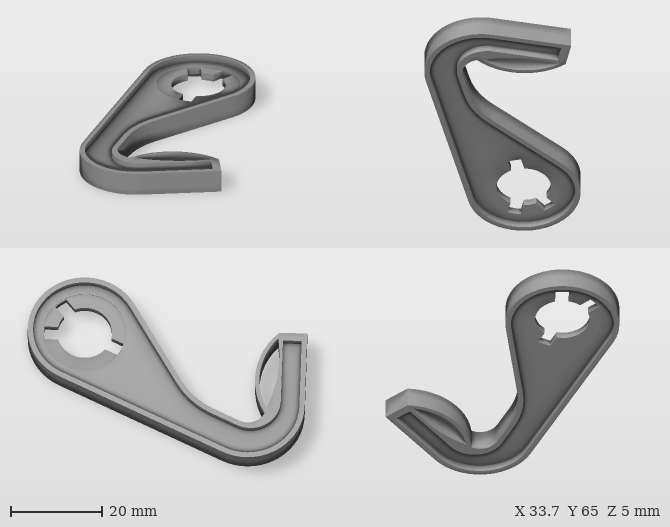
import cadquery as cq
import math

length = 65.0
thickness = 5.0
end_radius = 12.5
eye_y = length - 2 * end_radius
neck_slope = 33.8
neck_radius = 16.9
bend_radius = 4.15

arm_angle = 25.0
arm_length = 17.55
tip_width = 6.1

rim = 1.2
pocket_depth = 1.6
pocket_arm_width = 4.1
pocket_tip_wall = 1.8
pocket_bend_radius = 6.6

recess_radius = 9.15
recess_depth = 0.1
bore_radius = 6.0
slot_width = 3.0
slot_reach = 8.9
upper_slot_tilt = 24.5
upper_slot_pivot = 0.85

finger_crown = (8.65, 2.3)
window_start = (1.3, -3.95)
window_end = (17.3, 1.25)
window_upper_mid = (8.7, 1.3)
window_lower_mid = (9.4, -2.6)


def polar(center, radius, degrees):
    angle = math.radians(degrees)
    return center[0] + radius * math.cos(angle), center[1] + radius * math.sin(angle)


def arm_point(along, across):
    """Point in the tilted arm frame: along the arm, and square to it."""
    start = polar((0, 0), along, arm_angle)
    return polar(start, across, arm_angle + 90)


def hook_outline(inset, inner_radius, inner_center, arm_corners):
    """Closed hook outline, moved inward by inset; arm_corners run from outer to inner edge."""
    radius = end_radius - inset
    blend_radius = neck_radius + inset
    shank_x = -bend_radius - inset
    eye = (0, eye_y)

    slope = math.radians(neck_slope)
    blend_x = shank_x + blend_radius
    neck_length = ((radius + blend_radius) * math.cos(slope) - blend_x) / math.sin(slope)
    eye_tangent = polar(eye, radius, -neck_slope)
    blend_start = polar(eye_tangent, neck_length, -90 - neck_slope)
    blend = polar(blend_start, blend_radius, -neck_slope)

    inner_end_angle = arm_angle - 90
    inner_mid_angle = (180 + 360 + inner_end_angle) / 2
    return (
        cq.Workplane("XY")
        .moveTo(-radius, 0)
        .lineTo(-radius, eye_y)
        .threePointArc(polar(eye, radius, 90), eye_tangent)
        .lineTo(*blend_start)
        .threePointArc(polar(blend, blend_radius, 180 - neck_slope / 2), (shank_x, blend[1]))
        .lineTo(shank_x, inner_center[1])
        .threePointArc(
            polar(inner_center, inner_radius, inner_mid_angle),
            polar(inner_center, inner_radius, inner_end_angle),
        )
        .polyline(arm_corners[::-1], includeCurrent=True)
        .lineTo(*arm_point(0, -radius))
        .threePointArc(polar((0, 0), radius, 180 + (90 + arm_angle) / 2), (-radius, 0))
        .close()
    )


def make_plate():
    tip_outer = arm_point(arm_length, -end_radius)
    tip_inner = arm_point(arm_length, tip_width - end_radius)
    plate = hook_outline(0, bend_radius, (0, 0), [tip_outer, tip_inner]).extrude(thickness)
    finger = (
        cq.Workplane("XY")
        .moveTo(0, -bend_radius)
        .threePointArc(finger_crown, tip_inner)
        .lineTo(*tip_outer)
        .lineTo(*arm_point(0, -end_radius))
        .close()
        .extrude(thickness)
    )
    return plate.union(finger)


def make_pocket():
    outer_edge = rim - end_radius
    inner_edge = outer_edge + pocket_arm_width
    pocket_end = arm_length - pocket_tip_wall
    center_x = pocket_bend_radius - bend_radius - rim
    tilt = math.radians(arm_angle)
    center_y = (inner_edge + pocket_bend_radius + center_x * math.sin(tilt)) / math.cos(tilt)
    corners = [arm_point(pocket_end, outer_edge), arm_point(pocket_end, inner_edge)]
    return hook_outline(rim, pocket_bend_radius, (center_x, center_y), corners).extrude(pocket_depth)


def make_window():
    return (
        cq.Workplane("XY")
        .moveTo(*window_start)
        .threePointArc(window_upper_mid, window_end)
        .threePointArc(window_lower_mid, window_start)
        .close()
        .extrude(thickness)
    )


def make_slot(direction, pivot_y):
    """Radial slot leaving the point (0, pivot_y) of the eye, ended by a round wall."""
    bar = (
        cq.Workplane("XY")
        .rect(2 * recess_radius, slot_width)
        .extrude(thickness)
        .translate((recess_radius, 0, 0))
        .rotate((0, 0, 0), (0, 0, 1), direction)
        .translate((0, pivot_y, 0))
    )
    return bar.intersect(cq.Workplane("XY").circle(slot_reach).extrude(thickness))


def make_eye_opening():
    floor_z = thickness - pocket_depth
    opening = cq.Workplane("XY").circle(bore_radius).extrude(thickness)
    opening = opening.union(make_slot(-90, 0))
    for tilt in (-upper_slot_tilt, upper_slot_tilt):
        opening = opening.union(make_slot(90 + tilt, -upper_slot_pivot))
    recess = (
        cq.Workplane("XY")
        .workplane(offset=floor_z - recess_depth)
        .circle(recess_radius)
        .extrude(recess_depth)
    )
    return opening.union(recess).translate((0, eye_y, 0))


pocket = make_pocket()
result = (
    make_plate()
    .cut(pocket)
    .cut(pocket.translate((0, 0, thickness - pocket_depth)))
    .cut(make_window())
    .cut(make_eye_opening())
)